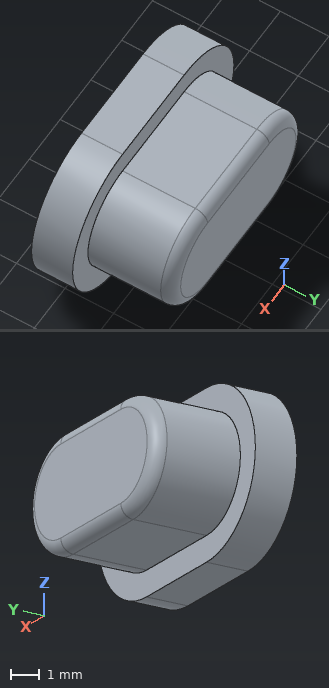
import cadquery as cq

length = 10.5
height = 6.5
depth = 5.2

flange_thickness = 1.7
flange_margin = 1.0
plug_edge_radius = 0.5

plug_length = length - 2 * flange_margin
plug_height = height - 2 * flange_margin


def stadium(slot_length, slot_height, start_y, end_y):
    """Round-ended block standing upright, extruded along +Y."""
    return (
        cq.Workplane("XZ", origin=(0, start_y, 0))
        .slot2D(slot_length, slot_height)
        .extrude(start_y - end_y)
    )


flange = stadium(length, height, 0, flange_thickness)

plug = stadium(plug_length, plug_height, flange_thickness, depth)
plug = plug.faces(">Y").edges().fillet(plug_edge_radius)

result = flange.union(plug)